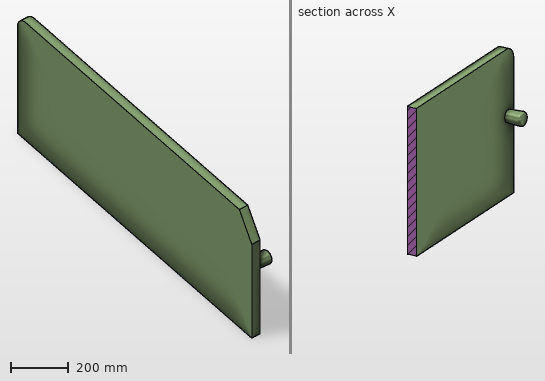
import cadquery as cq

panel_length = 1326.0
panel_height = 558.0
panel_thickness = 37.0
corner_radius = 50.0
corner_cut_length = 70.0
corner_cut_height = 114.0

total_depth = 102.0
peg_length = total_depth - panel_thickness
peg_base_radius = 24.0
peg_tip_radius = 28.0
peg_tip_rounding = 9.0
peg_end_offset = 38.0
peg_height = 304.0


def make_panel():
    """Plate with one rounded and one obliquely cut upper corner."""
    outline = (
        cq.Workplane("XZ")
        .moveTo(0, 0)
        .lineTo(panel_length, 0)
        .lineTo(panel_length, panel_height - corner_cut_height)
        .lineTo(panel_length - corner_cut_length, panel_height)
        .lineTo(corner_radius, panel_height)
        .radiusArc((0, panel_height - corner_radius), -corner_radius)
        .close()
    )
    return outline.extrude(-panel_thickness)


def make_peg(x):
    """Tapered round peg standing on the rear face at the given X."""
    cone = cq.Solid.makeCone(
        peg_base_radius,
        peg_tip_radius,
        peg_length,
        pnt=cq.Vector(x, panel_thickness, peg_height),
        dir=cq.Vector(0, 1, 0),
    )
    return cq.Workplane(obj=cone).faces(">Y").edges().fillet(peg_tip_rounding)


result = make_panel()
for peg_x in (peg_end_offset, panel_length - peg_end_offset):
    result = result.union(make_peg(peg_x))